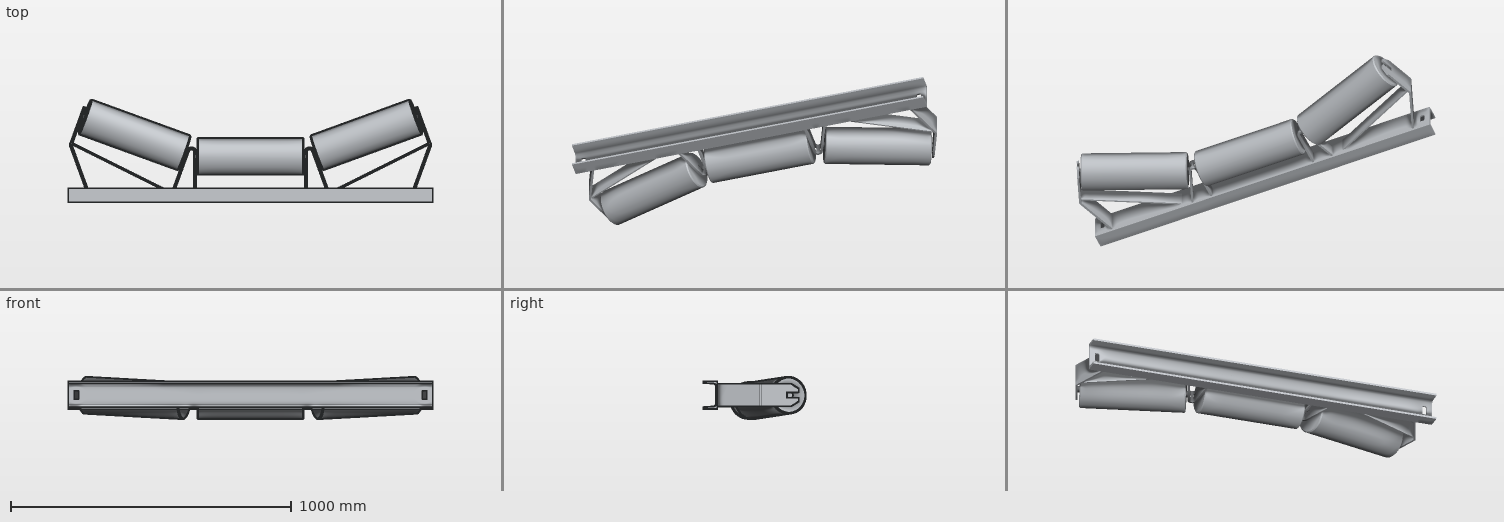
import cadquery as cq
import math


beam_length = 1300.0
beam_height = 100.0
flange_depth = 51.0
web_thickness = 6.0
flange_tip_thickness = 7.2
flange_root_thickness = 10.0
root_fillet = 8.0

slot_spacing = 1242.0
slot_width = 17.0
slot_height = 31.0
slot_corner = 4.0

roller_diameter = 133.0
roller_length = 380.0
roller_edge_chamfer = 4.0
shaft_diameter = 25.0
shaft_flat_width = 18.0
shaft_overhang = 10.0
roller_drop = 20.0
center_roller_y = 113.0
side_roller_center = (-413.0, 190.0, -10.0)
trough_angle = 20.0
toe_angle = 3.0

strap_thickness = 8.0
shaft_slot_clearance = 4.0
slot_cut_length = 260.0

outer_strap_height = 80.0
outer_foot_x = -585.0
outer_bend_y = 153.0
outer_bend_radius = 12.0
outer_tip_y = 289.0
tip_cut_length = 27.0
tip_cut_height = 17.0

upright_x = -198.0
fold_radius = 13.0
fold_center_y = 129.0
inner_strap_height = 44.0

strut_thickness = 5.0
strut_height = 56.0
strut_foot_x = -312.0
strut_top_y = 164.0

trough = math.radians(trough_angle)
shaft_radius = shaft_diameter / 2
half_strap = strap_thickness / 2
strap_width_x = strap_thickness / math.cos(trough)


def make_beam():
    half = beam_height / 2
    tip_z = half - flange_tip_thickness
    root_z = half - flange_root_thickness
    beam = (
        cq.Workplane("YZ")
        .polyline([
            (0, -half),
            (-flange_depth, -half),
            (-flange_depth, -tip_z),
            (-web_thickness, -root_z),
            (-web_thickness, root_z),
            (-flange_depth, tip_z),
            (-flange_depth, half),
            (0, half),
        ])
        .close()
        .extrude(beam_length / 2, both=True)
    )
    root_corners = [
        cq.selectors.NearestToPointSelector((0, -web_thickness, z)) for z in (-root_z, root_z)
    ]
    beam = beam.edges("|X").edges(root_corners[0] + root_corners[1]).fillet(root_fillet)
    slots = (
        cq.Workplane("XZ")
        .pushPoints([(-slot_spacing / 2, 0), (slot_spacing / 2, 0)])
        .rect(slot_width, slot_height)
        .extrude(flange_depth, both=True)
        .edges("|Y")
        .fillet(slot_corner)
    )
    return beam.cut(slots)


def make_roller():
    """Roller along X, centred on the origin, with flats on its shaft ends."""
    shell = (
        cq.Workplane("YZ", origin=(-roller_length / 2, 0, 0))
        .circle(roller_diameter / 2)
        .extrude(roller_length)
        .faces("<X or >X")
        .chamfer(roller_edge_chamfer)
    )
    shaft_length = roller_length + 2 * shaft_overhang
    shaft = (
        cq.Workplane("YZ", origin=(-shaft_length / 2, 0, 0))
        .circle(shaft_radius)
        .extrude(shaft_length)
    )
    flats = cq.Workplane("XY").box(shaft_length, shaft_diameter, shaft_flat_width)
    return shell.union(shaft.intersect(flats))


def make_shaft_slots(depth):
    """Cutters, open toward +Y, for both shaft ends of a roller lying along X."""
    cutters = cq.Workplane("XY")
    for side in (-1, 1):
        cutters = cutters.union(
            cq.Workplane("XY")
            .box(depth, slot_cut_length, shaft_flat_width)
            .translate((
                side * (roller_length + depth) / 2,
                slot_cut_length / 2 - shaft_radius,
                0,
            ))
        )
    return cutters


def place_center(body):
    return body.translate((0, center_roller_y, -roller_drop))


def place_left(body):
    """Toe the roller's inner end down, then swing its outer end up the trough."""
    toed = body.rotate((0, 0, 0), (0, 1, 0), toe_angle)
    return toed.rotate((0, 0, 0), (0, 0, 1), -trough_angle).translate(side_roller_center)


def make_outer_bracket():
    bend_x = outer_foot_x - outer_bend_y * math.tan(trough)
    tip_x = bend_x + (outer_tip_y - outer_bend_y) * math.tan(trough)
    half_x = strap_width_x / 2
    tip_dx = half_strap * math.cos(trough)
    tip_dy = half_strap * math.sin(trough)
    strap = (
        cq.Workplane("XY")
        .polyline([
            (outer_foot_x - half_x, 0),
            (bend_x - half_x, outer_bend_y),
            (tip_x - tip_dx, outer_tip_y + tip_dy),
            (tip_x + tip_dx, outer_tip_y - tip_dy),
            (bend_x + half_x, outer_bend_y),
            (outer_foot_x + half_x, 0),
        ])
        .close()
        .extrude(outer_strap_height / 2, both=True)
    )
    outer_edge = cq.selectors.NearestToPointSelector((bend_x - half_x, outer_bend_y, 0))
    inner_edge = cq.selectors.NearestToPointSelector((bend_x + half_x, outer_bend_y, 0))
    strap = strap.edges("|Z").edges(outer_edge).fillet(outer_bend_radius)
    strap = strap.edges("|Z").edges(inner_edge).fillet(outer_bend_radius - strap_thickness)
    top_y = outer_tip_y + tip_dy
    half = outer_strap_height / 2
    side_profile = (
        cq.Workplane("YZ")
        .polyline([
            (0, -half),
            (top_y - tip_cut_length, -half),
            (top_y, tip_cut_height - half),
            (top_y, half - tip_cut_height),
            (top_y - tip_cut_length, half),
            (0, half),
        ])
        .close()
        .extrude(-beam_length)
    )
    return strap.intersect(side_profile).cut(place_left(make_shaft_slots(slot_cut_length)))


def make_inner_bracket():
    fold_center_x = upright_x - fold_radius
    outer_radius = fold_radius + half_strap
    inner_radius = fold_radius - half_strap

    def on_fold(radius, angle):
        return (
            fold_center_x + radius * math.cos(angle),
            fold_center_y + radius * math.sin(angle),
        )

    slope_angle = math.pi - trough
    outer_end = on_fold(outer_radius, slope_angle)
    inner_end = on_fold(inner_radius, slope_angle)
    strap = (
        cq.Workplane("XY")
        .moveTo(upright_x + half_strap, 0)
        .lineTo(*on_fold(outer_radius, 0))
        .threePointArc(on_fold(outer_radius, slope_angle / 2), outer_end)
        .lineTo(outer_end[0] - outer_end[1] * math.tan(trough), 0)
        .lineTo(inner_end[0] - inner_end[1] * math.tan(trough), 0)
        .lineTo(*inner_end)
        .threePointArc(on_fold(inner_radius, slope_angle / 2), on_fold(inner_radius, 0))
        .lineTo(upright_x - half_strap, 0)
        .close()
        .extrude(inner_strap_height / 2, both=True)
        .translate((0, 0, -roller_drop))
    )
    slots = make_shaft_slots(shaft_overhang + shaft_slot_clearance)
    return strap.cut(place_center(slots)).cut(place_left(slots))


def make_strut():
    """Straight strip from the outer bracket's bend to the beam, trimmed to the bracket's face."""
    bend_x = outer_foot_x - outer_bend_y * math.tan(trough)
    slope = math.atan2(strut_top_y, strut_foot_x - bend_x)
    strut_width_x = strut_thickness / math.sin(slope)
    strut_rise_y = strut_thickness / math.cos(slope)
    strip = (
        cq.Workplane("XY")
        .polyline([
            (bend_x, strut_top_y),
            (strut_foot_x, 0),
            (strut_foot_x - strut_width_x, 0),
            (bend_x, strut_top_y - strut_rise_y),
        ])
        .close()
        .extrude(strut_height / 2, both=True)
    )
    return strip.cut(make_outer_bracket())


beam = make_beam()
center_roller = place_center(make_roller())
left_bodies = [
    place_left(make_roller()),
    make_outer_bracket(),
    make_inner_bracket(),
    make_strut(),
]

solids = [*beam.solids().vals(), *center_roller.solids().vals()]
for body in left_bodies:
    solids.extend(body.solids().vals())
    solids.extend(body.mirror("YZ").solids().vals())

result = cq.Compound.makeCompound(solids)